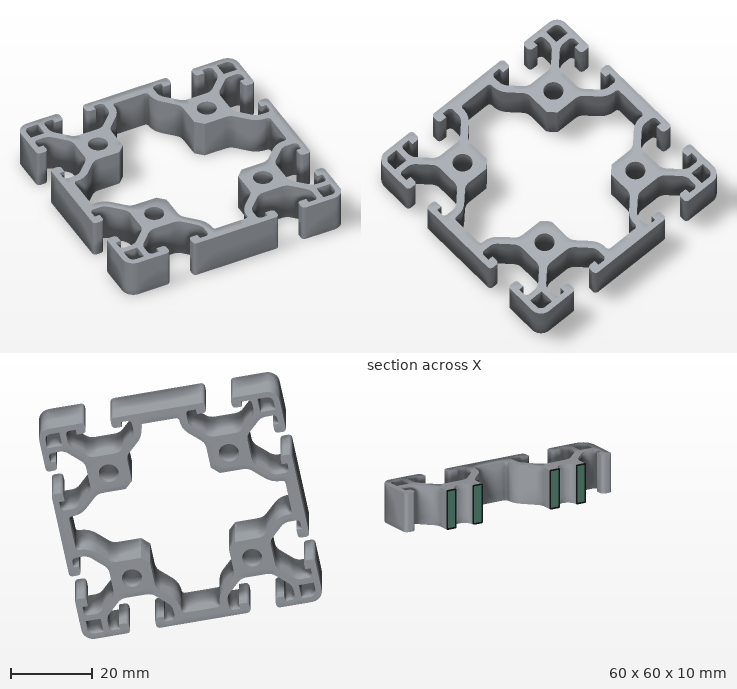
import cadquery as cq
import math

side = 60.0
length = 10.0
half_side = side / 2
corner_radius = 3.0
core_offset = side / 4

opening_half = 3.25
lip_width = 2.4
lip_depth = 2.9
lip_radius = 0.9
skin = 1.5
slot_half = 8.2
slot_corner_radius = 1.0
slot_bend_radius = 3.0

core_half = 5.15
core_chamfer = 1.9
bore_diameter = 4.9
web_shift = 1.4

cavity_wall = 3.0
cavity_half = 4.8
cavity_corner_radius = 0.8
cavity_shoulder_radius = 5.4
cavity_bend_radius = 3.0

channel_size = 3.8
channel_radius = corner_radius - skin


def turned(corners, quarter_turns):
    """Turn (x, y, radius) corners about the origin by a number of quarter turns."""
    for _ in range(quarter_turns):
        corners = [(-y, x, radius) for x, y, radius in corners]
    return corners


def all_around(corners):
    """Repeat the corners of one side, listed right to left, on all four sides."""
    return [corner for turn in range(4) for corner in turned(corners, turn)]


def rounded_prism(corners):
    """Extrude a closed outline of (x, y, radius) corners; zero radius leaves a corner sharp."""
    stops = []
    for index, (x, y, radius) in enumerate(corners):
        here = cq.Vector(x, y)
        before = cq.Vector(*corners[index - 1][:2])
        after = cq.Vector(*corners[(index + 1) % len(corners)][:2])
        to_before = (before - here).normalized()
        to_after = (after - here).normalized()
        half_angle = to_before.getAngle(to_after) / 2
        tangent_length = radius / math.tan(half_angle)
        apex_distance = radius / math.sin(half_angle) - radius
        bisector = (to_before + to_after).normalized()
        start = here + to_before * tangent_length
        middle = here + bisector * apex_distance
        end = here + to_after * tangent_length
        stops.append((start, middle, end, radius))

    outline = cq.Workplane("XY").moveTo(*stops[0][0].toTuple()[:2])
    for index, (start, middle, end, radius) in enumerate(stops):
        if index > 0:
            outline = outline.lineTo(start.x, start.y)
        if radius > 0:
            outline = outline.threePointArc((middle.x, middle.y), (end.x, end.y))
    return outline.close().extrude(length)


def slot_corners(centre_x):
    """Corners of one T-slot in the +Y side, from right to left."""
    lip_back = opening_half + lip_width
    floor_y = core_offset + core_half
    floor_half = core_half - web_shift
    shoulder_y = core_offset + slot_half + web_shift
    right_half = [
        (opening_half, half_side, lip_radius),
        (opening_half, half_side - lip_depth, lip_radius),
        (lip_back, half_side - lip_depth, 0),
        (lip_back, half_side - skin, 0),
        (slot_half, half_side - skin, slot_corner_radius),
        (slot_half, shoulder_y, slot_bend_radius),
        (floor_half, floor_y, slot_bend_radius),
    ]
    left_half = [(-x, y, radius) for x, y, radius in reversed(right_half)]
    return [(centre_x + x, y, radius) for x, y, radius in right_half + left_half]


def outer_body():
    """The profile without its enclosed cavities: a rounded square with eight slots."""
    corner = [(half_side, half_side, corner_radius)]
    slots = slot_corners(core_offset) + slot_corners(-core_offset)
    return rounded_prism(all_around(corner + slots))


def central_cavity():
    """The space enclosed by the four cores, their webs and the middle of each side."""
    core_face = core_offset - core_half
    web_root_y = core_offset + core_half - web_shift
    shoulder_y = 2 * core_offset - cavity_half - web_shift
    right_half = [
        (core_face, core_face + core_chamfer, 0),
        (core_face, web_root_y, cavity_bend_radius),
        (cavity_half, shoulder_y, cavity_shoulder_radius),
        (cavity_half, half_side - cavity_wall, cavity_corner_radius),
    ]
    left_half = [(-x, y, radius) for x, y, radius in reversed(right_half)]
    return rounded_prism(all_around(right_half + left_half))


def corner_channel():
    """The square channel in the +X +Y corner, rounded to follow the outer corner."""
    outer = half_side - skin
    inner = outer - channel_size
    return rounded_prism([
        (outer, outer, channel_radius),
        (inner, outer, 0),
        (inner, inner, 0),
        (outer, inner, 0),
    ])


result = outer_body().cut(central_cavity())
for turn in range(4):
    result = result.cut(corner_channel().rotate((0, 0, 0), (0, 0, 1), 90 * turn))

bores = cq.Workplane("XY").rect(2 * core_offset, 2 * core_offset, forConstruction=True).vertices()
result = result.cut(bores.circle(bore_diameter / 2).extrude(length))